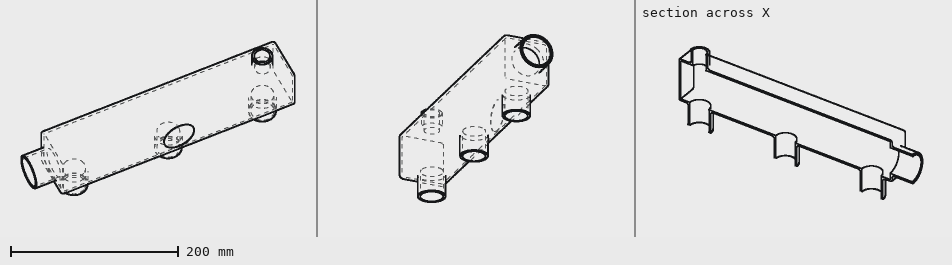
import cadquery as cq
import math

body_width = 60.0
body_length = 310.0
body_height = 60.0
long_edge_radius = 6.0
end_edge_radius = 3.0
wall = 3.0

supply_outer, supply_bore, supply_length = 42.3, 36.3, 30.0
outlet_outer, outlet_bore, outlet_length = 33.5, 27.5, 30.0
vent_outer, vent_bore, vent_length = 25.0, 18.63, 20.0
weld_radius = 3.0
rim_chamfer = 0.5

outlet_count = 3
outlet_pitch = 125.0
rear_offset = 30.0

badge_diameter = 40.0
badge_height = 0.55

half_width = body_width / 2
half_length = body_length / 2
half_height = body_height / 2
rear_y = half_length - rear_offset
outlet_positions = [rear_y - i * outlet_pitch for i in range(outlet_count)]


def make_body():
    body = cq.Workplane("XY").box(body_width, body_length, body_height)
    body = body.edges("|Y").fillet(long_edge_radius)
    return body.faces("<Y or >Y").edges().fillet(end_edge_radius)


def make_cavity():
    cavity = cq.Workplane("XY").box(
        body_width - 2 * wall,
        body_length - 2 * wall,
        body_height - 2 * wall,
    )
    return cavity.edges("|Y").fillet(long_edge_radius - wall)


def make_badge():
    badge = cq.Workplane("YZ", origin=(half_width - wall, 0, 0))
    return badge.circle(badge_diameter / 2).extrude(wall + badge_height)


def revolve_onto(profile, plane):
    """Revolve a closed radius-height profile and set it along the plane's normal."""
    solid = profile.revolve(360, (0, 0, 0), (0, 1, 0)).val()
    return cq.Workplane(solid.moved(cq.Location(plane)))


def make_stub(plane, outer, length):
    """Solid stub with a concave weld fillet at the body and a chamfered outer rim."""
    radius = outer / 2
    flare = radius + weld_radius
    arc_middle = weld_radius * (1 - math.sqrt(0.5))
    profile = (
        cq.Workplane("XZ")
        .moveTo(0, -wall)
        .lineTo(flare, -wall)
        .lineTo(flare, 0)
        .threePointArc((radius + arc_middle, arc_middle), (radius, weld_radius))
        .lineTo(radius, length - rim_chamfer)
        .lineTo(radius - rim_chamfer, length)
        .lineTo(0, length)
        .close()
    )
    return revolve_onto(profile, plane)


def make_bore(plane, bore, length, mouth_chamfer):
    """Cutter that runs from the open end of a stub through the wall into the cavity."""
    radius = bore / 2
    inner_end = -2 * wall
    profile = cq.Workplane("XZ").moveTo(0, inner_end).lineTo(radius, inner_end)
    if mouth_chamfer > 0:
        profile = profile.lineTo(radius, length - mouth_chamfer)
    profile = profile.lineTo(radius + mouth_chamfer, length).lineTo(0, length).close()
    return revolve_onto(profile, plane)


def stub_plane(origin, direction):
    """Plane on the body surface with its normal along the stub axis."""
    return cq.Plane(origin=origin, xDir=(1, 0, 0), normal=direction)


supply_plane = stub_plane((0, -half_length, 0), (0, -1, 0))
vent_plane = stub_plane((0, rear_y, half_height), (0, 0, 1))

stubs = [
    (supply_plane, supply_outer, supply_bore, supply_length, rim_chamfer),
    (vent_plane, vent_outer, vent_bore, vent_length, 0),
]
for y in outlet_positions:
    outlet_plane = stub_plane((0, y, -half_height), (0, 0, -1))
    stubs.append((outlet_plane, outlet_outer, outlet_bore, outlet_length, 0))

result = make_body().union(make_badge())
for plane, outer, bore, length, mouth_chamfer in stubs:
    result = result.union(make_stub(plane, outer, length))

result = result.cut(make_cavity())
for plane, outer, bore, length, mouth_chamfer in stubs:
    result = result.cut(make_bore(plane, bore, length, mouth_chamfer))